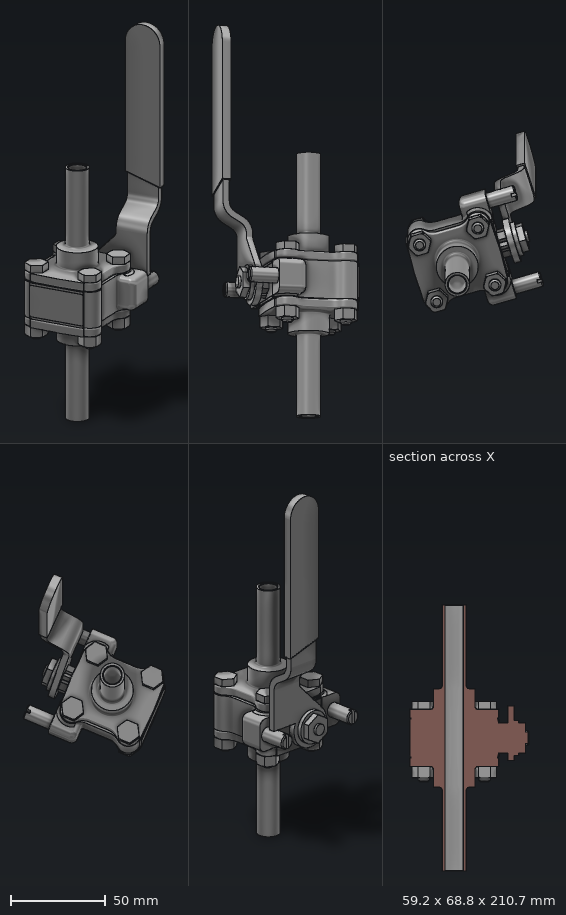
import cadquery as cq
import math


PIPE_DIAMETER = 12.9
BORE_DIAMETER = 9.5
BORE_CHAMFER = 0.5
PIPE_HALF_LENGTH = 70.4
COLLAR_DIAMETER = 22.1
COLLAR_TOP = 26.1
COLLAR_FILLET = 1.58
PIPE_FILLET = 1.58

BOLT_OFFSET = 16.0
LUG_RADIUS = 6.3
WAIST_FILLET = 8.5
BODY_HALF_HEIGHT = 10.1
BODY_WAIST = 19.2
BODY_DEPTH = 23.4
FLANGE_TOP = 15.2
FLANGE_WAIST = 18.1
FLANGE_DEPTH = 23.5
FLANGE_CORNER_DEPTH = 23.0
FLANGE_FILLET = 0.8
FLANGE_LOWER_FILLET = 1.3
PAD_HALF_HEIGHT = 8.8
PAD_CORNER = 0.8

HEX_TO_CORNERS = 2 / math.sqrt(3)
HEX_TURN = 30
HEAD_ACROSS_FLATS = 11.0
HEAD_HEIGHT = 4.2
HEAD_CHAMFER = 0.2
NUT_HEIGHT = 6.0
NUT_CHAMFER = 0.5
BOLT_DIAMETER = 6.3
BOLT_END = 23.2
BOLT_CHAMFER = 1.0

EAR_SPAN = 59.2
EAR_TIP = EAR_SPAN / 2
EAR_BOTTOM = 8.8
EAR_TOP = 24.0
EAR_HALF_HEIGHT = 9.3
EAR_FILLET = 3.8
EAR_BOTTOM_FILLET = 3.2
EAR_ROOT_FILLET = 1.5
SEAT_BASE_RADIUS = 8.5
SEAT_TOP_RADIUS = 6.7
PIN_OFFSET = 24.2
PIN_DIAMETER = 8.2
PIN_END = 39.5
PIN_CHAMFER = 0.6
PIN_SLOT_WIDTH = 1.7
PIN_SLOT_DEPTH = 2.5

STEM_DIAMETER = 6.3
STEM_START = 12.9
STEM_END = 39.2
STEM_NUT_ACROSS_FLATS = 14.1
GLAND_SLOT_WIDTH = 1.5
GLAND_SLOT_FLOOR = 5.5
GLAND_SLOT_SPACING = 5.3
LEVER_BACK = 28.2
LEVER_THICKNESS = 3.5
LEVER_FACE = LEVER_BACK + LEVER_THICKNESS
WASHER_DIAMETER = 18.5
WASHER_TOP = 34.1
STEM_NUT_TOP = 37.7

LEVER_HUB_RADIUS = 12.0
LEVER_LEFT = 8.0
LEVER_RIGHT = 26.8
LEVER_LOWER_EDGE = 4.6
SHOULDER_Z = 25.0
SHOULDER_FILLET = 2.7
BEND_START = 27.8
BEND_RADIUS = 8.2
BEND_ANGLE = math.radians(60)
GRIP_TOP = 140.3
GRIP_WIDTH = 20.9
GRIP_THICKNESS = 4.8
GRIP_OUTER_FACE = 45.3
GRIP_LEFT_END = 56.5
GRIP_RIGHT_END = 50.4


def on_plane_y(y):
    """Workplane facing +Y at height y; local x is -X and local y is Z."""
    return cq.Workplane(cq.Plane(origin=(0, y, 0), xDir=(-1, 0, 0), normal=(0, 1, 0)))


def chamfered_hex(across_flats, height, chamfer):
    """Hexagon prism on Z with flats facing X, its upper corners turned down."""
    corners = across_flats * HEX_TO_CORNERS
    prism = cq.Workplane("XY").polygon(6, corners).extrude(height)
    prism = prism.rotate((0, 0, 0), (0, 0, 1), HEX_TURN)
    turned = cq.Workplane("XY").circle(corners / 2).extrude(height).faces(">Z").chamfer(chamfer)
    return prism.intersect(turned)


def lugged_block(waist, middle_depth, corner_depth, z_low, z_high):
    """Block with a round lug at each bolt and a narrowed waist on the X sides.

    The Y sides run from corner_depth at the lugs to middle_depth at X = 0.
    """
    blend_x = waist + WAIST_FILLET
    reach = LUG_RADIUS + WAIST_FILLET
    blend_y = BOLT_OFFSET - math.sqrt(reach**2 - (blend_x - BOLT_OFFSET) ** 2)
    blend_angle = math.atan2(BOLT_OFFSET - blend_y, BOLT_OFFSET - blend_x)

    def lug_point(angle):
        return (BOLT_OFFSET + LUG_RADIUS * math.cos(angle), BOLT_OFFSET + LUG_RADIUS * math.sin(angle))

    def blend_point(angle):
        return (blend_x + WAIST_FILLET * math.cos(angle), blend_y + WAIST_FILLET * math.sin(angle))

    quarter = (
        cq.Workplane("XY", origin=(0, 0, z_low))
        .lineTo(0, middle_depth)
        .lineTo(BOLT_OFFSET, corner_depth)
        .lineTo(*lug_point(math.pi / 2))
        .threePointArc(lug_point(math.pi / 8), lug_point(blend_angle - math.pi))
        .threePointArc(blend_point((blend_angle + math.pi) / 2), (waist, blend_y))
        .lineTo(waist, 0)
        .close()
        .extrude(z_high - z_low)
    )
    half = quarter.union(quarter.mirror("YZ"))
    return half.union(half.mirror("XZ")).clean()


def body():
    """Centre block with a raised round-cornered pad on each Y side."""
    block = lugged_block(BODY_WAIST, BODY_DEPTH, BODY_DEPTH, -BODY_HALF_HEIGHT, BODY_HALF_HEIGHT)
    pad = (
        cq.Workplane("XY")
        .box(2 * BOLT_OFFSET, 2 * FLANGE_DEPTH, 2 * PAD_HALF_HEIGHT)
        .edges("|Y")
        .fillet(PAD_CORNER)
    )
    return block.union(pad)


def pipe_end():
    """Upper flange with its collar and pipe."""
    flange = lugged_block(
        FLANGE_WAIST, FLANGE_DEPTH, FLANGE_CORNER_DEPTH, BODY_HALF_HEIGHT, FLANGE_TOP
    )
    flange = flange.faces("<Z").edges().fillet(FLANGE_LOWER_FILLET)
    lug_edges = flange.faces(">Z").edges("%CIRCLE")
    lug_edges = lug_edges.filter(lambda edge: abs(edge.Center().y) > BOLT_OFFSET)
    flange = lug_edges.fillet(FLANGE_FILLET)
    collar_radius = COLLAR_DIAMETER / 2
    pipe_radius = PIPE_DIAMETER / 2
    diagonal = 1 - math.sqrt(0.5)
    turned = (
        cq.Workplane("XZ")
        .moveTo(0, BODY_HALF_HEIGHT)
        .lineTo(collar_radius + COLLAR_FILLET, BODY_HALF_HEIGHT)
        .lineTo(collar_radius + COLLAR_FILLET, FLANGE_TOP)
        .threePointArc(
            (collar_radius + COLLAR_FILLET * diagonal, FLANGE_TOP + COLLAR_FILLET * diagonal),
            (collar_radius, FLANGE_TOP + COLLAR_FILLET),
        )
        .lineTo(collar_radius, COLLAR_TOP)
        .lineTo(pipe_radius + PIPE_FILLET, COLLAR_TOP)
        .threePointArc(
            (pipe_radius + PIPE_FILLET * diagonal, COLLAR_TOP + PIPE_FILLET * diagonal),
            (pipe_radius, COLLAR_TOP + PIPE_FILLET),
        )
        .lineTo(pipe_radius, PIPE_HALF_LENGTH)
        .lineTo(0, PIPE_HALF_LENGTH)
        .close()
        .revolve(360, (0, 0), (0, 1))
    )
    return flange.union(turned)


def bore():
    """Straight bore through the valve, flared slightly at both pipe ends."""
    radius = BORE_DIAMETER / 2
    half = (
        cq.Workplane("XZ")
        .lineTo(radius, 0)
        .lineTo(radius, PIPE_HALF_LENGTH - BORE_CHAMFER)
        .lineTo(radius + BORE_CHAMFER, PIPE_HALF_LENGTH)
        .lineTo(0, PIPE_HALF_LENGTH)
        .close()
        .revolve(360, (0, 0), (0, 1))
    )
    return half.union(half.mirror("XY"))


def bolt(x, y):
    """Hex head above the upper flange, nut and bolt end below the lower one."""
    head = chamfered_hex(HEAD_ACROSS_FLATS, HEAD_HEIGHT, HEAD_CHAMFER).translate((x, y, FLANGE_TOP))
    nut = chamfered_hex(HEAD_ACROSS_FLATS, NUT_HEIGHT, NUT_CHAMFER).mirror("XY")
    nut = nut.translate((x, y, -FLANGE_TOP))
    shank = (
        cq.Workplane("XY", origin=(x, y, -BOLT_END))
        .circle(BOLT_DIAMETER / 2)
        .extrude(BOLT_END)
        .faces("<Z")
        .chamfer(BOLT_CHAMFER)
    )
    return head.union(nut).union(shank)


def ear_with_pin():
    """Stop ear on the +X side with a conical seat around the lug and a slotted pin."""
    ear = (
        cq.Workplane("XY")
        .box(
            EAR_TIP - BOLT_OFFSET,
            EAR_TOP - EAR_BOTTOM,
            2 * EAR_HALF_HEIGHT,
            centered=(False, False, True),
        )
        .translate((BOLT_OFFSET, EAR_BOTTOM, 0))
    )
    ear = ear.edges(">X and |Y").fillet(EAR_FILLET)
    ear = ear.faces("<Y").edges("not <X").fillet(EAR_BOTTOM_FILLET)
    seat = (
        cq.Workplane("XY", origin=(BOLT_OFFSET, BOLT_OFFSET, EAR_HALF_HEIGHT))
        .circle(SEAT_BASE_RADIUS)
        .workplane(offset=BODY_HALF_HEIGHT - EAR_HALF_HEIGHT)
        .circle(SEAT_TOP_RADIUS)
        .loft()
    )

    flat_bottom = EAR_BOTTOM + EAR_BOTTOM_FILLET
    flat_length = EAR_TOP - flat_bottom
    flat_zone = (
        cq.Workplane("XY")
        .box(2 * EAR_TIP, flat_length, 2 * BODY_HALF_HEIGHT)
        .translate((0, flat_bottom + flat_length / 2, 0))
    )
    seat = seat.intersect(flat_zone)
    ear = ear.union(seat).union(seat.mirror("XY"))

    pin = (
        on_plane_y(flat_bottom)
        .center(-PIN_OFFSET, 0)
        .circle(PIN_DIAMETER / 2)
        .extrude(PIN_END - flat_bottom)
        .faces(">Y")
        .chamfer(PIN_CHAMFER)
    )
    slot = (
        cq.Workplane("XY")
        .box(PIN_SLOT_WIDTH, 2 * PIN_SLOT_DEPTH, PIN_DIAMETER)
        .translate((PIN_OFFSET, PIN_END, 0))
    )
    return ear.union(pin.cut(slot))


def body_with_ears():
    """Body with both ears, their roots blended into the waists."""
    ear = ear_with_pin()
    joined = body().union(ear).union(ear.mirror("YZ"))
    for side in (-1, 1):
        root = (side * BODY_WAIST, EAR_BOTTOM, 0)
        root_edge = joined.edges("|Z").edges(cq.selectors.NearestToPointSelector(root))
        joined = root_edge.fillet(EAR_ROOT_FILLET)
    return joined


def stem_stack():
    """Slotted gland nut, washer and top nut on the stem."""
    stem = (
        on_plane_y(STEM_START)
        .circle(STEM_DIAMETER / 2)
        .extrude(STEM_END - STEM_START)
    )
    corners = STEM_NUT_ACROSS_FLATS * HEX_TO_CORNERS

    def hex_nut(y_low, y_high):
        nut = on_plane_y(y_low).polygon(6, corners).extrude(y_high - y_low)
        return nut.rotate((0, 0, 0), (0, 1, 0), HEX_TURN)

    gland_height = LEVER_BACK - BODY_DEPTH
    gland_slots = (
        on_plane_y(BODY_DEPTH)
        .pushPoints([(-GLAND_SLOT_SPACING / 2, 0), (GLAND_SLOT_SPACING / 2, 0)])
        .rect(GLAND_SLOT_WIDTH, 2 * corners)
        .extrude(gland_height)
    )
    slot_core = on_plane_y(BODY_DEPTH).rect(2 * corners, 2 * GLAND_SLOT_FLOOR).extrude(gland_height)
    gland_slots = gland_slots.cut(slot_core)
    gland_nut = hex_nut(BODY_DEPTH, LEVER_BACK).cut(gland_slots)
    washer = on_plane_y(LEVER_FACE).circle(WASHER_DIAMETER / 2).extrude(WASHER_TOP - LEVER_FACE)
    top_nut = hex_nut(WASHER_TOP, STEM_NUT_TOP)
    return gland_nut.union(stem).union(washer).union(top_nut)


def lever_hub():
    """Flat lower part of the lever, tapering onto a round hub about the stem."""
    shoulder_distance = math.hypot(LEVER_LEFT, SHOULDER_Z)
    tangent_angle = math.atan2(SHOULDER_Z, LEVER_LEFT) + math.acos(LEVER_HUB_RADIUS / shoulder_distance)
    edge_angle = math.asin(LEVER_LOWER_EDGE / LEVER_HUB_RADIUS)

    shoulder = (LEVER_LEFT, LEVER_BACK + LEVER_THICKNESS / 2, SHOULDER_Z)

    def hub_point(angle):
        return (LEVER_HUB_RADIUS * math.cos(angle), LEVER_HUB_RADIUS * math.sin(angle))

    return (
        cq.Workplane("XZ", origin=(0, LEVER_FACE, 0))
        .moveTo(LEVER_LEFT, BEND_START)
        .lineTo(LEVER_LEFT, SHOULDER_Z)
        .lineTo(*hub_point(tangent_angle))
        .threePointArc(hub_point(1.5 * math.pi), hub_point(edge_angle))
        .lineTo(LEVER_RIGHT, LEVER_LOWER_EDGE)
        .lineTo(LEVER_RIGHT, BEND_START)
        .close()
        .extrude(LEVER_THICKNESS)
        .edges(cq.selectors.NearestToPointSelector(shoulder))
        .fillet(SHOULDER_FILLET)
    )


def lever_strap():
    """Strap with an S-bend from the hub plane out to the grip plane."""
    lower_y = LEVER_BACK + LEVER_THICKNESS / 2
    upper_y = GRIP_OUTER_FACE - GRIP_THICKNESS / 2
    arc_shift = 2 * BEND_RADIUS * (1 - math.cos(BEND_ANGLE))
    slope_length = (upper_y - lower_y - arc_shift) / math.sin(BEND_ANGLE)
    bend_end = BEND_START + 2 * BEND_RADIUS * math.sin(BEND_ANGLE) + slope_length * math.cos(BEND_ANGLE)
    tight = BEND_RADIUS - LEVER_THICKNESS / 2
    wide = BEND_RADIUS + LEVER_THICKNESS / 2
    strap_top = GRIP_TOP - GRIP_WIDTH / 2

    def lower_bend(radius, angle):
        return (lower_y + BEND_RADIUS - radius * math.cos(angle), BEND_START + radius * math.sin(angle))

    def upper_bend(radius, angle):
        return (upper_y - BEND_RADIUS + radius * math.cos(angle), bend_end - radius * math.sin(angle))

    return (
        cq.Workplane("YZ", origin=(LEVER_LEFT, 0, 0))
        .moveTo(*lower_bend(wide, 0))
        .threePointArc(lower_bend(wide, BEND_ANGLE / 2), lower_bend(wide, BEND_ANGLE))
        .lineTo(*upper_bend(tight, BEND_ANGLE))
        .threePointArc(upper_bend(tight, BEND_ANGLE / 2), upper_bend(tight, 0))
        .lineTo(upper_y - LEVER_THICKNESS / 2, strap_top)
        .lineTo(upper_y + LEVER_THICKNESS / 2, strap_top)
        .lineTo(*upper_bend(wide, 0))
        .threePointArc(upper_bend(wide, BEND_ANGLE / 2), upper_bend(wide, BEND_ANGLE))
        .lineTo(*lower_bend(tight, BEND_ANGLE))
        .threePointArc(lower_bend(tight, BEND_ANGLE / 2), lower_bend(tight, 0))
        .close()
        .extrude(LEVER_RIGHT - LEVER_LEFT)
    )


def grip():
    """Sleeve over the strap with a rounded top and a slanted lower end."""
    centre_x = (LEVER_LEFT + LEVER_RIGHT) / 2
    left = centre_x - GRIP_WIDTH / 2
    right = centre_x + GRIP_WIDTH / 2
    shoulder_z = GRIP_TOP - GRIP_WIDTH / 2
    return (
        cq.Workplane("XZ", origin=(0, GRIP_OUTER_FACE, 0))
        .moveTo(left, GRIP_LEFT_END)
        .lineTo(left, shoulder_z)
        .threePointArc((centre_x, GRIP_TOP), (right, shoulder_z))
        .lineTo(right, GRIP_RIGHT_END)
        .close()
        .extrude(GRIP_THICKNESS)
    )


upper_end = pipe_end()
result = body_with_ears().union(upper_end).union(upper_end.mirror("XY"))
for bolt_x in (-BOLT_OFFSET, BOLT_OFFSET):
    for bolt_y in (-BOLT_OFFSET, BOLT_OFFSET):
        result = result.union(bolt(bolt_x, bolt_y))
result = result.union(stem_stack()).cut(bore())
result = result.union(lever_hub()).union(lever_strap()).union(grip())